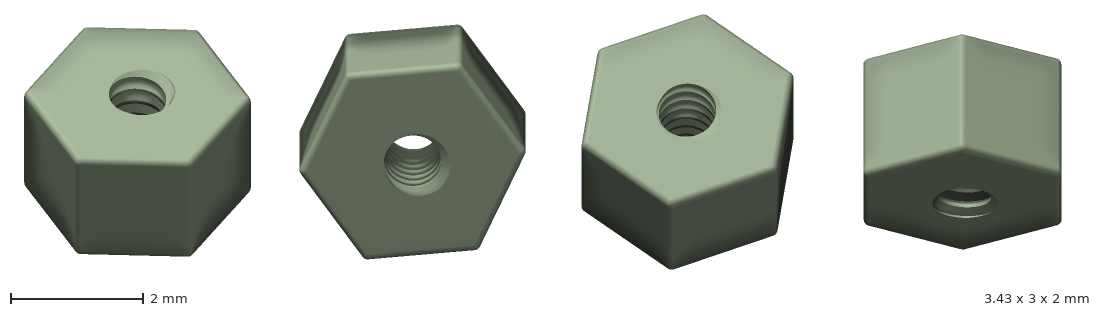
import cadquery as cq
import math

LENGTH = 3.43
HEIGHT = 2.0
EDGE_RADIUS = 0.1

MINOR_DIAMETER = 0.868
MAJOR_DIAMETER = 1.152
TURNS = 8
PITCH = HEIGHT / TURNS
ROOT_WIDTH = PITCH / 8
MOUTH_WIDTH = 0.75 * PITCH
BORE_OVERLAP = 0.035
START_ANGLE = 90.0


def hexagonal_body():
    corner_loss = EDGE_RADIUS * (1 / math.cos(math.radians(30)) - 1)
    sharp_length = LENGTH + 2 * corner_loss
    body = cq.Workplane("XY").polygon(6, sharp_length).extrude(HEIGHT)
    return body.edges().fillet(EDGE_RADIUS)


def thread_groove():
    """Helical cutter running one pitch past both end faces."""
    minor_radius = MINOR_DIAMETER / 2
    major_radius = MAJOR_DIAMETER / 2
    inner_radius = minor_radius - BORE_OVERLAP
    profile = [
        (inner_radius, -MOUTH_WIDTH / 2),
        (minor_radius, -MOUTH_WIDTH / 2),
        (major_radius, -ROOT_WIDTH / 2),
        (major_radius, ROOT_WIDTH / 2),
        (minor_radius, MOUTH_WIDTH / 2),
        (inner_radius, MOUTH_WIDTH / 2),
    ]
    helix_height = HEIGHT + 2 * PITCH
    helices = [
        cq.Wire.makeHelix(PITCH, helix_height, radius, center=cq.Vector(0, 0, offset))
        for radius, offset in profile
    ]
    faces = [
        cq.Face.makeRuledSurface(helices[i - 1], helices[i])
        for i in range(len(helices))
    ]
    for end_height in (0, helix_height):
        corners = [cq.Vector(radius, 0, offset + end_height) for radius, offset in profile]
        faces.append(cq.Face.makeFromWires(cq.Wire.makePolygon(corners, close=True)))
    groove = cq.Solid.makeSolid(cq.Shell.makeShell(faces))
    groove = groove.rotate(cq.Vector(0, 0, 0), cq.Vector(0, 0, 1), START_ANGLE)
    return groove.translate(cq.Vector(0, 0, -PITCH))


bore = cq.Workplane("XY").circle(MINOR_DIAMETER / 2).extrude(HEIGHT)
result = hexagonal_body().cut(bore).cut(thread_groove())